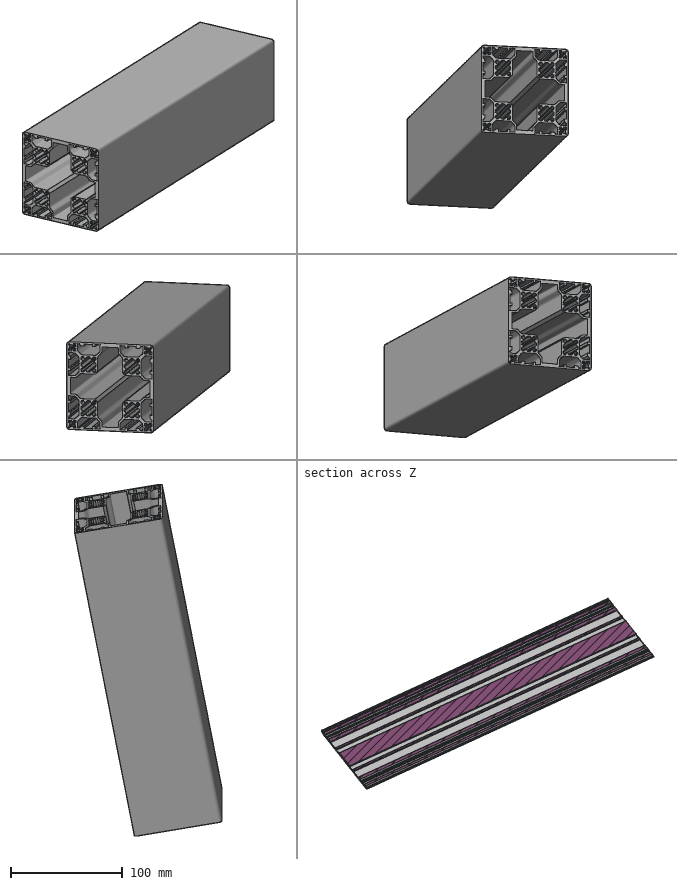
import cadquery as cq

SIZE = 80.0
LENGTH = 300.0
HALF = SIZE / 2
CORNER_RADIUS = 3.0

BORE_CENTRE = HALF / 2
SKIN = 1.6
MID_SKIN = 3.5
WEB = 1.6

CROSS_HALF_WIDTH = 7.6
CROSS_ARM_BEND = 8.8
ARM_END_RADIUS = 1.0
CORE_HALF = 8.6
CORE_CHAMFER = 2.5
BEND_RADIUS = 3.0

SLOT_NEAR_SIDE = 9.9
SLOT_FAR_SIDE = HALF - CROSS_HALF_WIDTH - WEB
SLOT_BEND = 7.6
SLOT_FLOOR = BORE_CENTRE - CORE_HALF
SLOT_BEND_COUNT = 4
SLOT_TAPER = SLOT_FLOOR - SLOT_BEND
SLOT_MOUTH_HALF = 4.0
LIP_DEPTH = 3.5
NEAR_LIP_WIDTH = 2.6
FAR_LIP_WIDTH = 2.3
LIP_SLOPE = LIP_DEPTH - SKIN

BORE_HALF = CORE_HALF - WEB
BORE_CHAMFER = 1.2
TOOTH_OUTER = 4.7
TOOTH_TIP = 3.1
TOOTH_INNER = 0.9
TOOTH_HEIGHT = 2.2

CHANNEL_FAR_SIDE = SLOT_NEAR_SIDE - WEB
CHANNEL_RIB_HEIGHT = 1.1
CHANNEL_RIB_END = 6.2
CHANNEL_RIB_START = 2.3
CHANNEL_INNER_RIB_START = 4.3


def swapped(points):
    """Points reflected in the quadrant's diagonal."""
    return [(v, u) for u, v in points]


def round_bends(solid, bends, radius):
    """Round the lengthwise edges that pass through the section points x, z."""
    edges = []
    for x, z in bends:
        nearest = cq.selectors.NearestToPointSelector((x, 0, z))
        edges += solid.edges("|Y").edges(nearest).vals()
    return solid.newObject(edges).fillet(radius)


def prism(points):
    """Full-length prism whose outline is given in section coordinates x, z."""
    return cq.Workplane("XZ").polyline(points).close().extrude(LENGTH / 2, both=True)


def in_quadrant(points):
    """Section coordinates x, z of u, v points in the -X, +Z quadrant."""
    return [(u - HALF, HALF - v) for u, v in points]


def outer_bar():
    bar = cq.Workplane("XY").box(SIZE, LENGTH, SIZE)
    return bar.edges("|Y").fillet(CORNER_RADIUS)


def cross_cavity():
    arm_end = HALF - MID_SKIN
    bend = HALF - CROSS_ARM_BEND
    core_inner = BORE_CENTRE - CORE_HALF
    taper = core_inner - CROSS_HALF_WIDTH
    right_top = [
        (CROSS_HALF_WIDTH, arm_end),
        (CROSS_HALF_WIDTH, bend),
        (core_inner, bend - taper),
        (core_inner, core_inner + CORE_CHAMFER),
        (core_inner + CORE_CHAMFER, core_inner),
        (bend - taper, core_inner),
        (bend, CROSS_HALF_WIDTH),
        (arm_end, CROSS_HALF_WIDTH),
    ]
    outline = []
    bends = []
    arm_ends = []
    for turn in range(4):
        outline += right_top
        arm_ends += [right_top[0], right_top[-1]]
        bends += right_top[1:3] + right_top[5:7]
        right_top = [(z, -x) for x, z in right_top]
    cavity = round_bends(prism(outline), bends, BEND_RADIUS)
    return round_bends(cavity, arm_ends, ARM_END_RADIUS)


def slot_outline():
    near_lip = BORE_CENTRE - SLOT_MOUTH_HALF
    far_lip = BORE_CENTRE + SLOT_MOUTH_HALF
    return [
        (SLOT_NEAR_SIDE, SKIN),
        (near_lip - NEAR_LIP_WIDTH - LIP_SLOPE, SKIN),
        (near_lip - NEAR_LIP_WIDTH, LIP_DEPTH),
        (near_lip, LIP_DEPTH),
        (near_lip, SKIN),
        (far_lip, SKIN),
        (far_lip, LIP_DEPTH),
        (far_lip + FAR_LIP_WIDTH, LIP_DEPTH),
        (far_lip + FAR_LIP_WIDTH, SKIN),
        (SLOT_FAR_SIDE, SKIN),
        (SLOT_FAR_SIDE, SLOT_BEND),
        (SLOT_FAR_SIDE - SLOT_TAPER, SLOT_FLOOR),
        (SLOT_NEAR_SIDE + SLOT_TAPER, SLOT_FLOOR),
        (SLOT_NEAR_SIDE, SLOT_BEND),
    ]


def bore_outline():
    tip_level = BORE_HALF - TOOTH_HEIGHT
    side = [
        (-BORE_HALF + BORE_CHAMFER, BORE_HALF),
        (-TOOTH_OUTER, BORE_HALF),
        (-TOOTH_TIP, tip_level),
        (-TOOTH_INNER, BORE_HALF),
        (TOOTH_INNER, BORE_HALF),
        (TOOTH_TIP, tip_level),
        (TOOTH_OUTER, BORE_HALF),
        (BORE_HALF - BORE_CHAMFER, BORE_HALF),
    ]
    outline = []
    for turn in range(4):
        outline += side
        side = [(b, -a) for a, b in side]
    return [(BORE_CENTRE + a, BORE_CENTRE + b) for a, b in outline]


def channel_outline():
    outer_rib = SKIN + CHANNEL_RIB_HEIGHT
    inner_rib = CHANNEL_FAR_SIDE - CHANNEL_RIB_HEIGHT
    half = [
        (CHANNEL_RIB_START, SKIN),
        (CHANNEL_RIB_START + CHANNEL_RIB_HEIGHT, outer_rib),
        (CHANNEL_RIB_END, outer_rib),
        (CHANNEL_RIB_END, SKIN),
        (CHANNEL_FAR_SIDE, SKIN),
        (CHANNEL_FAR_SIDE, CHANNEL_INNER_RIB_START),
        (inner_rib, CHANNEL_INNER_RIB_START),
        (inner_rib, CHANNEL_RIB_END),
        (CHANNEL_FAR_SIDE, CHANNEL_RIB_END),
    ]
    corner = [(CHANNEL_FAR_SIDE, CHANNEL_FAR_SIDE)]
    return half + corner + swapped(half)[::-1]


def quadrant_cavities():
    cavities = [prism(in_quadrant(bore_outline())), prism(in_quadrant(channel_outline()))]
    slot = slot_outline()
    for outline in (slot, swapped(slot)):
        bends = in_quadrant(outline[-SLOT_BEND_COUNT:])
        cavities.append(round_bends(prism(in_quadrant(outline)), bends, BEND_RADIUS))
    return cavities


result = outer_bar().cut(cross_cavity())
for cavity in quadrant_cavities():
    mirrored = cavity.mirror("YZ")
    for copy in (cavity, mirrored, cavity.mirror("XY"), mirrored.mirror("XY")):
        result = result.cut(copy)